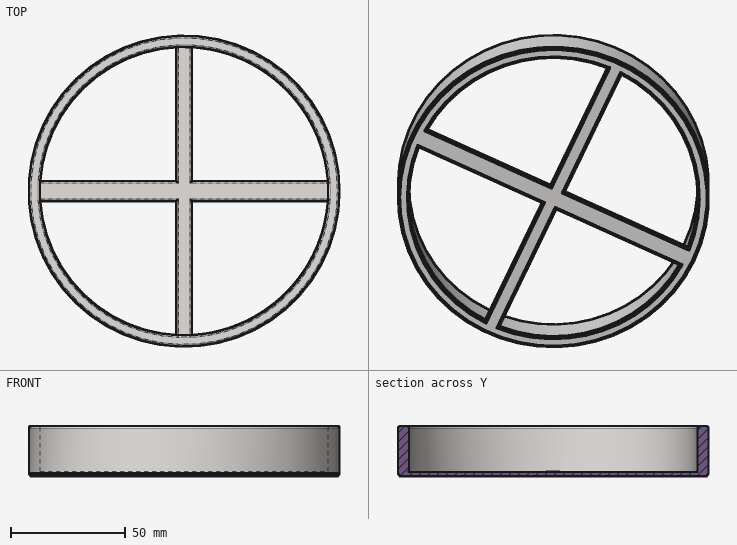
import cadquery as cq

outer_diameter = 136.0
inner_diameter = 126.0
ring_height = 22.0
wall_thickness = (outer_diameter - inner_diameter) / 2
wall_center_radius = (outer_diameter + inner_diameter) / 4

x_bar_width = 9.0
y_bar_width = 7.0
bar_thickness = 2.0
bar_length = 2 * wall_center_radius

top_radius = 1.0
bottom_chamfer = 1.0
corner_bevel = 0.4


def bevelled_section(plane, width, height):
    """Upright rectangle centred on the plane origin with a two-step bevel along both lower corners."""
    half_width = width / 2
    along_chamfer = corner_bevel * 0.5 ** 0.5
    return (
        plane.moveTo(0, 0)
        .lineTo(half_width - bottom_chamfer, 0)
        .lineTo(half_width - along_chamfer, bottom_chamfer - along_chamfer)
        .lineTo(half_width, bottom_chamfer + corner_bevel)
        .lineTo(half_width, height)
        .lineTo(0, height)
        .mirrorY()
    )


def make_ring():
    """Ring standing on Z = 0 with bevelled lower rims and rounded upper rims."""
    wall_plane = cq.Workplane("XZ", origin=(wall_center_radius, 0, 0))
    wall = bevelled_section(wall_plane, wall_thickness, ring_height)
    ring = wall.revolve(360, (-wall_center_radius, 0, 0), (-wall_center_radius, 1, 0))
    return ring.faces(">Z").edges().fillet(top_radius)


def make_bar(end_plane, long_axis, width):
    """Flat bar lying on Z = 0; the bevelled lower sides trim the rounded upper ones."""
    rounded_bar = (
        cq.Workplane(end_plane)
        .center(0, bar_thickness / 2)
        .rect(width, bar_thickness)
        .extrude(bar_length / 2, both=True)
        .faces(">Z")
        .edges("|" + long_axis)
        .fillet(top_radius)
    )
    bevelled_bar = bevelled_section(cq.Workplane(end_plane), width, bar_thickness)
    return rounded_bar.intersect(bevelled_bar.extrude(bar_length / 2, both=True))


x_bar = make_bar("YZ", "X", x_bar_width)
y_bar = make_bar("XZ", "Y", y_bar_width)

result = make_ring().union(x_bar).union(y_bar)